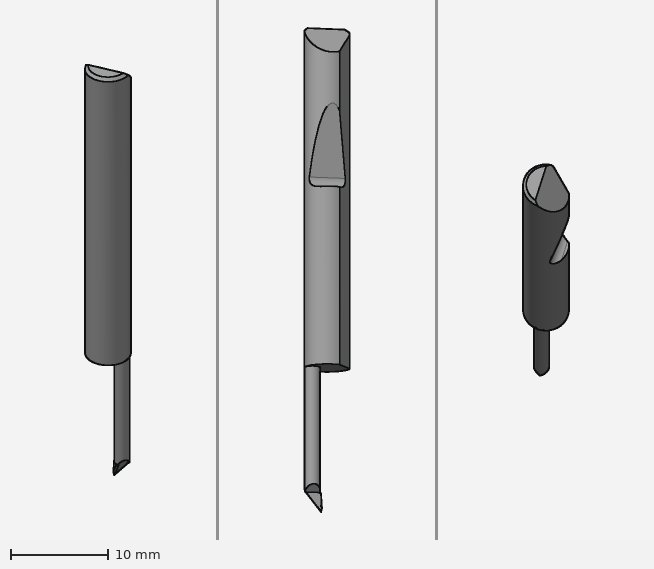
import cadquery as cq
import math

total_length = 50.6
shank_radius = 2.4
shank_bottom = 15.05
end_chamfer = 0.35
end_slope_start_y = -0.55

flat_start_angle = 109.0
flat_end_angle = 178.0

notch_top = 42.35
notch_bottom = 33.65
notch_floor_y = 0.85
notch_corner_radius = 0.95

neck_radius = 0.8
neck_x = shank_radius - neck_radius

rake_y = 0.05
rake_top = 2.0
head_top = 1.95
tip_x = 0.65
nose_x = 0.55
nose_z = 0.4
edge_slope = 1.23
relief_x = 1.15
relief_z = 2.7

margin = 2.55


def make_side_prism(points):
    """Extrude a Y-Z outline through the full width of the shank."""
    width = shank_radius + margin
    return cq.Workplane("YZ").polyline(points).close().extrude(width, both=True)


def make_relieved_prism(points):
    """Sweep an X-Z outline from the rake face to the back of the neck, along the relief direction."""
    depth = rake_y + neck_radius
    front = [cq.Vector(x, rake_y, z) for x, z in points]
    back = [cq.Vector(x + relief_x * depth, -neck_radius, z + relief_z * depth) for x, z in points]
    wires = [cq.Wire.makePolygon(outline, close=True) for outline in (front, back)]
    return cq.Workplane(obj=cq.Solid.makeLoft(wires, True))


def make_shank():
    shank = (
        cq.Workplane("XY", origin=(0, 0, shank_bottom))
        .circle(shank_radius)
        .extrude(total_length - shank_bottom)
        .faces(">Z")
        .chamfer(end_chamfer)
    )

    outer_y = shank_radius + margin
    end_slope = make_side_prism([
        (end_slope_start_y, total_length),
        (outer_y, total_length),
        (outer_y, total_length - outer_y + end_slope_start_y),
    ])

    flat_middle_angle = (flat_start_angle + flat_end_angle) / 2
    half_chord_angle = math.radians(flat_end_angle - flat_start_angle) / 2
    flat_distance = shank_radius * math.cos(half_chord_angle)
    flat = (
        cq.Workplane("XY")
        .box(margin, 2 * shank_radius, total_length, centered=(False, True, False))
        .translate((flat_distance, 0, 0))
        .rotate((0, 0, 0), (0, 0, 1), flat_middle_angle)
    )

    return shank.cut(end_slope).cut(flat).cut(make_notch())


def make_notch():
    """Sloped floor that ends in a rounded corner against a square shoulder."""
    return make_side_prism([
        (shank_radius, notch_top),
        (notch_floor_y, notch_bottom),
        (shank_radius + margin, notch_bottom),
        (shank_radius + margin, notch_top),
    ]).edges("|X and <Y").fillet(notch_corner_radius)


def make_neck():
    """Round neck, cut away in front of the rake face and below the cutting edge."""
    neck = (
        cq.Workplane("XY", origin=(neck_x, 0, head_top))
        .circle(neck_radius)
        .extrude(shank_bottom - head_top)
    )
    rake_step = make_side_prism([
        (rake_y, 0),
        (rake_y, rake_top),
        (rake_y + margin, rake_top + margin),
        (rake_y + margin, 0),
    ])
    low_x = tip_x - margin
    high_x = shank_radius + margin
    clearance = make_relieved_prism([
        (low_x, -edge_slope * margin),
        (high_x, edge_slope * (high_x - tip_x)),
        (high_x, -total_length),
        (low_x, -total_length),
    ])
    return neck.cut(rake_step).cut(clearance)


def make_cutting_head():
    """Pointed head below the neck, with all its relief faces sloping back from the rake face."""
    head = make_relieved_prism([
        (tip_x, 0),
        (nose_x, nose_z),
        (tip_x, head_top),
        (tip_x + head_top / edge_slope, head_top),
    ])
    above_head = cq.Workplane("XY", origin=(0, 0, head_top)).rect(
        4 * shank_radius, 4 * shank_radius
    ).extrude(total_length)
    return head.cut(above_head)


result = make_shank().union(make_neck()).union(make_cutting_head())